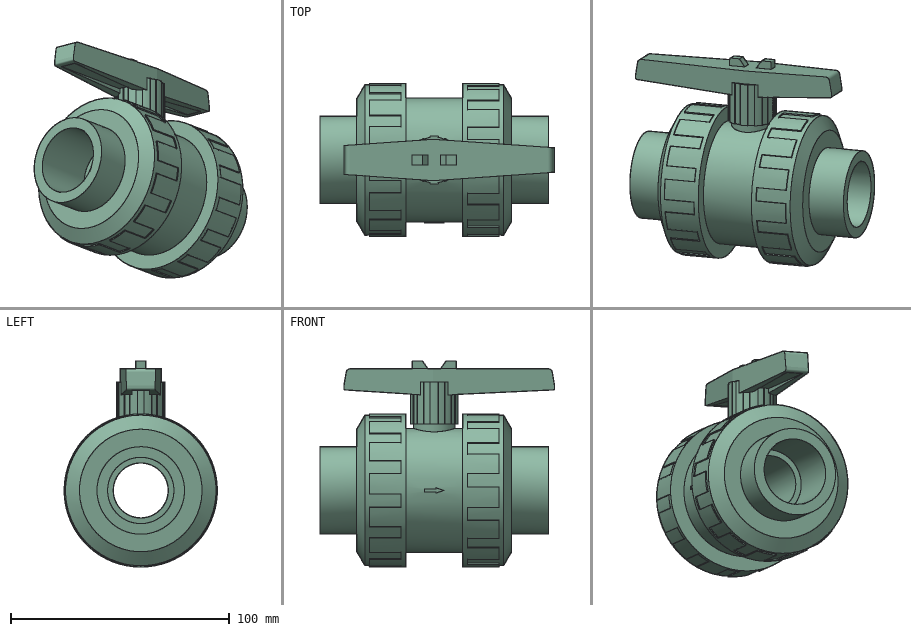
import cadquery as cq
import math

pipe_radius = 20.0
pipe_half_length = 52.25
socket_radius = 15.15
socket_depth = 30.0
bore_radius = 12.5

body_radius = 28.4
body_half_length = 13.0

nut_inner_x = body_half_length
nut_outer_x = 35.4
nut_bevel_length = 3.7
nut_radius = 35.0
nut_root_radius = 34.4
nut_face_radius = 28.0
nut_collar_length = 2.2
tooth_length = 14.4
tooth_count = 14
tooth_angle = 15.6
tooth_phase = 5.1

neck_radius = 9.5
hub_radius = 11.0
hub_root_radius = 10.5
hub_bottom_z = 30.3
hub_top_z = 49.5
spline_count = 10
spline_angle = 20.0

handle_left_x = -41.3
handle_right_x = 55.0
handle_crease_x = -0.5
handle_top_z = 55.6
handle_middle_bottom_z = 43.3
handle_tip_bottom_z = 45.9
handle_lip_height = 2.0
handle_end_lean = 1.3
handle_middle_half_width = 9.45
handle_left_half_width = 6.6
handle_right_half_width = 5.6
handle_top_round = 2.0
handle_bottom_round = 0.8
groove_half_width = 3.9
groove_tip_margin = 3.0

lug_inner_bottom_x = 2.8
lug_inner_top_x = 5.4
lug_outer_x = 10.15
lug_top_z = 59.17
lug_width = 4.6
lug_round = 0.5

arrow_half_length = 4.4
arrow_head_x = 0.7
arrow_shaft_half_width = 0.75
arrow_head_half_width = 1.25
arrow_height = 0.3


def x_cylinder(radius, start_x, end_x):
    return cq.Workplane("YZ").workplane(offset=start_x).circle(radius).extrude(end_x - start_x)


def sector(radius, middle_angle, width_angle):
    """Closed wedge outline reaching past the given radius, as points about the origin."""
    reach = 2 * radius
    low = math.radians(middle_angle - width_angle / 2)
    high = math.radians(middle_angle + width_angle / 2)
    return [
        (0, 0),
        (reach * math.cos(low), reach * math.sin(low)),
        (reach * math.cos(high), reach * math.sin(high)),
    ]


def make_left_nut():
    """Bevelled nut with a full collar at its inner end and grip teeth running off it."""
    bevel_end_x = -nut_outer_x + nut_bevel_length
    core = (
        cq.Workplane("XZ")
        .moveTo(-nut_outer_x, 0)
        .lineTo(-nut_outer_x, nut_face_radius)
        .lineTo(bevel_end_x, nut_root_radius)
        .lineTo(-nut_inner_x, nut_root_radius)
        .lineTo(-nut_inner_x, 0)
        .close()
        .revolve(360, (0, 0, 0), (1, 0, 0))
    )
    collar_x = -nut_inner_x - nut_collar_length
    collar = x_cylinder(nut_radius, collar_x, -nut_inner_x)
    tooth_start_x = collar_x - tooth_length
    teeth = cq.Workplane("YZ").workplane(offset=tooth_start_x)
    for index in range(tooth_count):
        middle = 180 - tooth_phase + index * 360 / tooth_count
        teeth = teeth.polyline(sector(nut_radius, middle, tooth_angle)).close()
    teeth = teeth.extrude(tooth_length)
    teeth = teeth.intersect(x_cylinder(nut_radius, tooth_start_x, collar_x))
    return core.union(collar).union(teeth)


def make_hub():
    """Stem neck and the splined hub that carries the handle."""
    height = hub_top_z - hub_bottom_z
    plane = cq.Workplane("XY").workplane(offset=hub_bottom_z)
    splines = plane
    for index in range(spline_count):
        middle = 90 + index * 360 / spline_count
        splines = splines.polyline(sector(hub_radius, middle, spline_angle)).close()
    splines = splines.extrude(height).intersect(plane.circle(hub_radius).extrude(height))
    neck = cq.Workplane("XY").circle(neck_radius).extrude(hub_bottom_z)
    return neck.union(plane.circle(hub_root_radius).extrude(height)).union(splines)


def make_handle():
    """Lever tapering in plan and depth to two rounded ends, with a flat groove underneath."""
    lip_top_z = handle_tip_bottom_z + handle_lip_height
    side = (
        cq.Workplane("XZ")
        .moveTo(handle_left_x, handle_tip_bottom_z)
        .lineTo(handle_crease_x, handle_middle_bottom_z)
        .lineTo(handle_right_x, handle_tip_bottom_z)
        .lineTo(handle_right_x, lip_top_z)
        .lineTo(handle_right_x - handle_end_lean, handle_top_z)
        .lineTo(handle_left_x + handle_end_lean, handle_top_z)
        .lineTo(handle_left_x, lip_top_z)
        .close()
        .extrude(handle_middle_half_width, both=True)
    )
    side = side.newObject(side.faces(">Z").edges("|Y").vals()).fillet(handle_top_round)
    side = side.newObject(side.faces("<X or >X").edges("|Y and <Z").vals()).fillet(handle_bottom_round)
    plan = (
        cq.Workplane("XY")
        .workplane(offset=handle_middle_bottom_z)
        .moveTo(handle_left_x, -handle_left_half_width)
        .lineTo(handle_crease_x, -handle_middle_half_width)
        .lineTo(handle_right_x, -handle_right_half_width)
        .lineTo(handle_right_x, handle_right_half_width)
        .lineTo(handle_crease_x, handle_middle_half_width)
        .lineTo(handle_left_x, handle_left_half_width)
        .close()
        .extrude(handle_top_z - handle_middle_bottom_z)
    )
    groove = (
        cq.Workplane("XY")
        .workplane(offset=handle_middle_bottom_z)
        .moveTo(handle_left_x + groove_tip_margin, -groove_half_width)
        .lineTo(handle_right_x - groove_tip_margin, -groove_half_width)
        .lineTo(handle_right_x - groove_tip_margin, groove_half_width)
        .lineTo(handle_left_x + groove_tip_margin, groove_half_width)
        .close()
        .extrude(handle_tip_bottom_z - handle_middle_bottom_z)
    )
    return side.intersect(plan).cut(groove)


def make_right_lug():
    """Lug with a sloping inner face, standing on the handle."""
    lug = (
        cq.Workplane("XZ")
        .moveTo(lug_inner_bottom_x, handle_top_z)
        .lineTo(lug_outer_x, handle_top_z)
        .lineTo(lug_outer_x, lug_top_z)
        .lineTo(lug_inner_top_x, lug_top_z)
        .close()
        .extrude(lug_width / 2, both=True)
    )
    return lug.edges("|Y and >X and >Z").fillet(lug_round)


def make_arrow():
    """Raised flow arrow pointing along +X."""
    outer = x_cylinder(body_radius + arrow_height, -body_half_length, body_half_length)
    return (
        cq.Workplane("XZ")
        .moveTo(-arrow_half_length, -arrow_shaft_half_width)
        .lineTo(arrow_head_x, -arrow_shaft_half_width)
        .lineTo(arrow_head_x, -arrow_head_half_width)
        .lineTo(arrow_half_length, 0)
        .lineTo(arrow_head_x, arrow_head_half_width)
        .lineTo(arrow_head_x, arrow_shaft_half_width)
        .lineTo(-arrow_half_length, arrow_shaft_half_width)
        .close()
        .extrude(nut_radius)
        .intersect(outer)
    )


left_nut = make_left_nut()
right_nut = left_nut.rotate((0, 0, 0), (0, 0, 1), 180)
right_lug = make_right_lug()
left_lug = right_lug.mirror("YZ")

valve = x_cylinder(body_radius, -body_half_length, body_half_length)
valve = valve.union(x_cylinder(pipe_radius, -pipe_half_length, pipe_half_length))
valve = valve.union(left_nut).union(right_nut)
valve = valve.union(make_hub()).union(make_handle())
valve = valve.union(left_lug).union(right_lug).union(make_arrow())

valve = valve.cut(x_cylinder(bore_radius, -pipe_half_length, pipe_half_length))
socket_end_x = pipe_half_length - socket_depth
valve = valve.cut(x_cylinder(socket_radius, -pipe_half_length, -socket_end_x))
valve = valve.cut(x_cylinder(socket_radius, socket_end_x, pipe_half_length))

result = valve